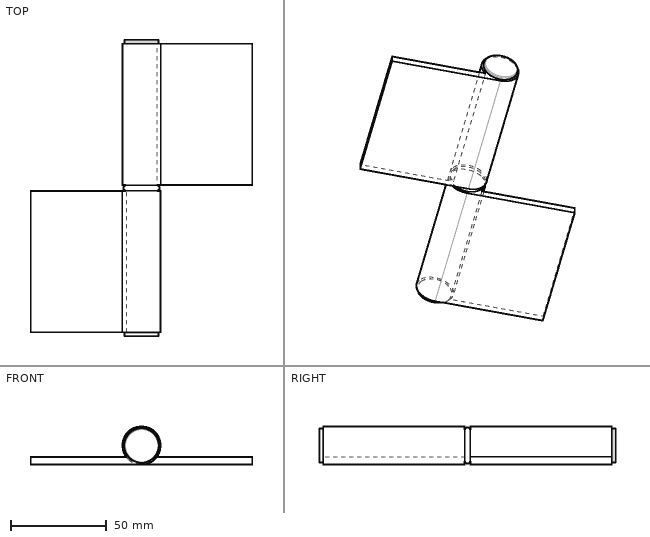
import cadquery as cq

total_length = 155.0
total_width = 116.0
barrel_diameter = 20.0
barrel_radius = barrel_diameter / 2
plate_thickness = 4.0

washer_diameter = 19.0
washer_thickness = 3.0

cap_diameter = 18.0
cap_thickness = 2.0
cap_edge_radius = 0.5

barrel_length = (total_length - washer_thickness) / 2 - cap_thickness
barrel_start = washer_thickness / 2
barrel_end = barrel_start + barrel_length


def disc_along_y(diameter, start, length):
    """Solid cylinder on the hinge axis, running from y = start toward +Y."""
    return (
        cq.Workplane("XZ", origin=(0, start, 0))
        .circle(diameter / 2)
        .extrude(-length)
    )


def make_leaf():
    """Rear leaf: a barrel with a plate to +X, flush with the barrel's lowest line."""
    barrel = disc_along_y(barrel_diameter, barrel_start, barrel_length)
    plate = cq.Workplane("XY", origin=(0, barrel_start, -barrel_radius)).box(
        total_width / 2, barrel_length, plate_thickness, centered=False
    )
    return barrel.union(plate)


def make_washer():
    """Washer with a half-round rim, revolved about the hinge axis."""
    half_thickness = washer_thickness / 2
    rim_radius = washer_diameter / 2
    flat_radius = rim_radius - half_thickness
    return (
        cq.Workplane("XY")
        .moveTo(0, -half_thickness)
        .lineTo(flat_radius, -half_thickness)
        .threePointArc((rim_radius, 0), (flat_radius, half_thickness))
        .lineTo(0, half_thickness)
        .close()
        .revolve(360, (0, 0, 0), (0, 1, 0))
    )


def make_cap():
    """Rear end cap with both of its round edges softened."""
    cap = disc_along_y(cap_diameter, barrel_end, cap_thickness)
    return cap.edges("%CIRCLE").fillet(cap_edge_radius)


leaves = []
caps = []
for turn in (0, 180):
    leaves.append(make_leaf().rotate((0, 0, 0), (0, 0, 1), turn).val())
    caps.append(make_cap().rotate((0, 0, 0), (0, 0, 1), turn).val())

washer = make_washer()

result = cq.Compound.makeCompound([*leaves, *caps, washer.val()])